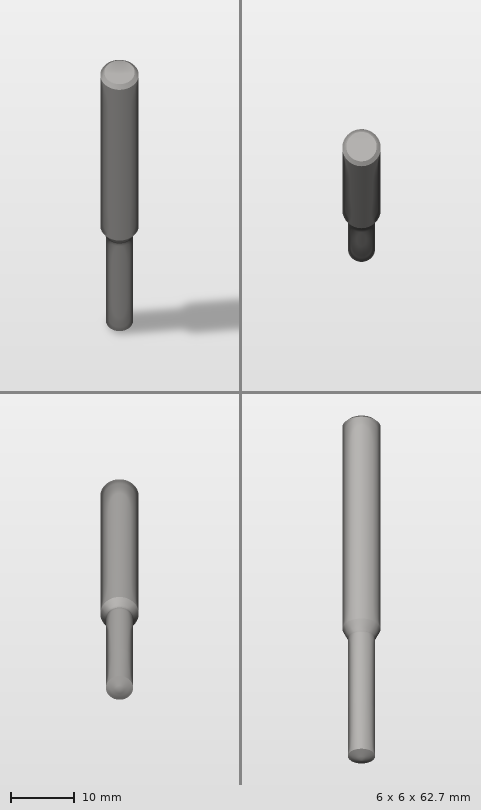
import cadquery as cq

total_length = 62.7
shank_radius = 3.0
neck_radius = 2.1
tip_height = 0.75
cutting_length = 9.4
neck_top = 22.6
taper_top = 24.45
end_chamfer = 0.6


def revolve_profile(points):
    """Turn a closed radius-height outline about the Z axis."""
    return cq.Workplane("XZ").polyline(points).close().revolve(360, (0, 0), (0, 1))


def make_cutting_head():
    """Plain cylinder with a conical point."""
    return revolve_profile([
        (0, 0),
        (neck_radius, tip_height),
        (neck_radius, cutting_length),
        (0, cutting_length),
    ])


def make_shank():
    """Neck, taper and chamfered shank, seated on the cutting head."""
    return revolve_profile([
        (0, cutting_length),
        (neck_radius, cutting_length),
        (neck_radius, neck_top),
        (shank_radius, taper_top),
        (shank_radius, total_length - end_chamfer),
        (shank_radius - end_chamfer, total_length),
        (0, total_length),
    ])


cutting_head = make_cutting_head()
shank = make_shank()

result = cq.Compound.makeCompound([cutting_head.val(), shank.val()])